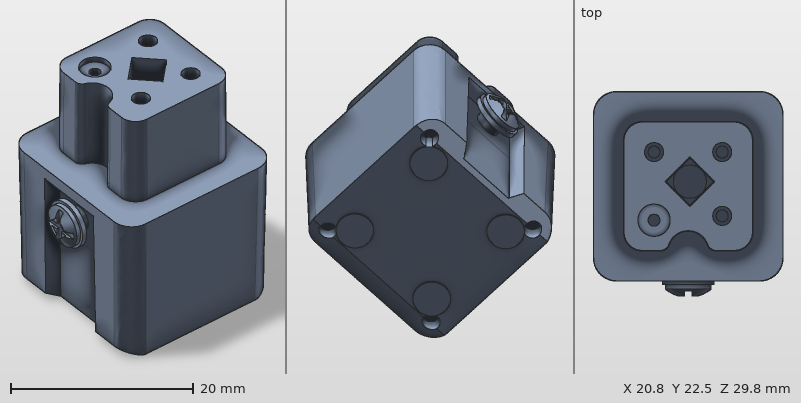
import cadquery as cq
import math

total_height = 29.8
body_bottom = 0.25
body_top = 18.65

cut_clearance = 0.3

body_width = 20.8
body_corner_radius = 2.5
body_draft = 0.8
bottom_chamfer_depth = 2.1
bottom_chamfer_rise = 0.8

plug_width = 14.1
plug_corner_radius = 2.0
plug_draft = 0.3
groove_radius = 2.25
groove_depth = 2.18
groove_lip_radius = 0.95

contact_centers = [(-3.75, 3.75), (3.72, 3.75), (3.72, -3.25)]
ground_contact_center = (-3.75, -3.72)
contact_bore_diameter = 2.1
contact_bore_depth = 5.95
contact_socket_diameter = 1.3
contact_socket_depth = 8.95
ground_recess_diameter = 3.55
ground_recess_depth = 0.7

socket_center = (0.18, 0.5)
socket_diagonal = 5.45
socket_depth = total_height - body_top
socket_draft = 0.5
socket_bore_diameter = 3.65
socket_bore_depth = 2.98

pocket_top = 17.2
pocket_top_half_width = 4.3
pocket_bottom_half_width = 4.6
pocket_floor_half_width = 3.5
pocket_floor_top = 16.65
pocket_wall_depth = 1.55
pocket_seat_bottom = 10.35
pocket_lower_draft = 0.7

screw_height = 13.62
shank_diameter = 2.98
shank_embed = 0.6
washer_diameter = 5.7
washer_thickness = 0.6
washer_front = -10.75
head_diameter = 5.05
head_rim = -11.3
head_dome_height = 0.92
slot_width = 0.77
slot_floor = -11.5
cross_recess_half_diagonal = 1.58
cross_recess_floor = -11.77

terminal_x = 5.93
terminal_y = 5.78
terminal_diameter = 4.15
terminal_length = 2.98

wire_bore_x = 7.95
wire_bore_y = 7.93
wire_bore_diameter = 1.97
wire_bore_top = 2.38

front_face = -body_width / 2
pocket_floor = front_face + pocket_wall_depth
screw_tip = head_rim - head_dome_height


def rounded_square(width):
    return cq.Sketch().rect(width, width).vertices().fillet(body_corner_radius)


def make_body():
    height = body_top - body_bottom
    lower_half_width = body_width / 2 - height * math.tan(math.radians(body_draft))
    upper_square = rounded_square(body_width).moved(cq.Location(cq.Vector(0, 0, height)))
    body = (
        cq.Workplane("XY").workplane(offset=body_bottom)
        .placeSketch(rounded_square(2 * lower_half_width), upper_square)
        .loft(ruled=True)
    )
    chamfer_slope = bottom_chamfer_rise / bottom_chamfer_depth
    chamfer_reach = bottom_chamfer_depth + cut_clearance
    for side in (-1, 1):
        flat_edge = side * (lower_half_width - bottom_chamfer_depth)
        outer_edge = flat_edge + side * chamfer_reach
        wedge = (
            cq.Workplane("YZ")
            .polyline([
                (flat_edge, body_bottom),
                (outer_edge, body_bottom),
                (outer_edge, body_bottom + chamfer_slope * chamfer_reach),
            ])
            .close()
            .extrude(body_width, both=True)
        )
        body = body.cut(wedge)
    return body


def make_plug():
    half = plug_width / 2
    straight = half - plug_corner_radius
    corner_mid = straight + plug_corner_radius * math.sqrt(0.5)
    groove_center = -half + groove_depth - groove_radius
    lip_center = -half + groove_lip_radius
    center_distance = groove_radius + groove_lip_radius
    lip_x = math.sqrt(center_distance**2 - (lip_center - groove_center) ** 2)
    tangent_x = lip_x * groove_radius / center_distance
    tangent_y = groove_center + (lip_center - groove_center) * groove_radius / center_distance
    profile = (
        cq.Workplane("XY").workplane(offset=total_height)
        .moveTo(lip_x, -half)
        .lineTo(straight, -half)
        .threePointArc((corner_mid, -corner_mid), (half, -straight))
        .lineTo(half, straight)
        .threePointArc((corner_mid, corner_mid), (straight, half))
        .lineTo(-straight, half)
        .threePointArc((-corner_mid, corner_mid), (-half, straight))
        .lineTo(-half, -straight)
        .threePointArc((-corner_mid, -corner_mid), (-straight, -half))
        .lineTo(-lip_x, -half)
        .tangentArcPoint((-tangent_x, tangent_y), relative=False)
        .threePointArc((0, groove_center + groove_radius), (tangent_x, tangent_y))
        .tangentArcPoint((lip_x, -half), relative=False)
        .close()
    )
    return profile.extrude(body_top - total_height, taper=-plug_draft)


def drill(part, centers, diameter, top, depth):
    bores = cq.Workplane("XY").workplane(offset=top).pushPoints(centers).circle(diameter / 2).extrude(-depth)
    return part.cut(bores)


def cut_contacts(part):
    part = drill(part, contact_centers, contact_bore_diameter, total_height, contact_bore_depth)
    part = drill(part, [ground_contact_center], ground_recess_diameter, total_height, ground_recess_depth)
    all_centers = contact_centers + [ground_contact_center]
    return drill(part, all_centers, contact_socket_diameter, total_height, contact_socket_depth)


def cut_square_socket(part):
    socket = (
        cq.Workplane("XY").workplane(offset=total_height)
        .center(*socket_center)
        .polygon(4, socket_diagonal)
        .extrude(-socket_depth, taper=socket_draft)
    )
    bore_depth = socket_depth + socket_bore_depth
    return drill(part.cut(socket), [socket_center], socket_bore_diameter, total_height, bore_depth)


def pocket_section(depth_y):
    """Pocket outline at depth_y, following the slope of its side and top walls."""
    share = (depth_y - front_face) / pocket_wall_depth
    top = pocket_top + share * (pocket_floor_top - pocket_top)
    top_half = pocket_top_half_width + share * (pocket_floor_half_width - pocket_top_half_width)
    bottom_half = pocket_bottom_half_width + share * (pocket_floor_half_width - pocket_bottom_half_width)
    return [(-bottom_half, 0), (bottom_half, 0), (top_half, top), (-top_half, top)]


def cut_front_pocket(part):
    cutter_start = front_face - cut_clearance
    pocket = (
        cq.Workplane("XZ", origin=(0, cutter_start, 0))
        .polyline(pocket_section(cutter_start)).close()
        .workplane(offset=cutter_start - pocket_floor)
        .polyline(pocket_section(pocket_floor)).close()
        .loft(ruled=True)
    )
    lean = pocket_seat_bottom * math.tan(math.radians(pocket_lower_draft))
    lower_floor = (
        cq.Workplane("YZ")
        .polyline([
            (pocket_floor, pocket_seat_bottom),
            (pocket_floor + lean, 0),
            (pocket_floor, 0),
        ])
        .close()
        .extrude(pocket_floor_half_width, both=True)
    )
    return part.cut(pocket).cut(lower_floor)


def screw_plane(y):
    """Workplane across the screw axis whose normal points out of the front face."""
    return cq.Workplane("XZ", origin=(0, y, screw_height))


def make_screw():
    shank_root = pocket_floor + shank_embed
    shank = screw_plane(shank_root).circle(shank_diameter / 2).extrude(shank_root - head_rim)
    washer = screw_plane(washer_front).circle(washer_diameter / 2).extrude(-washer_thickness)
    head_radius = head_diameter / 2
    dome_radius = (head_radius**2 + head_dome_height**2) / (2 * head_dome_height)
    dome_center = screw_tip + dome_radius
    mid_x = head_radius / 2
    mid_y = dome_center - math.sqrt(dome_radius**2 - mid_x**2)
    head = (
        cq.Workplane("XY", origin=(0, 0, screw_height))
        .moveTo(0, washer_front)
        .lineTo(head_radius, washer_front)
        .lineTo(head_radius, head_rim)
        .threePointArc((mid_x, mid_y), (0, screw_tip))
        .close()
        .revolve(360, (0, 0, 0), (0, 1, 0))
    )
    slot_depth = slot_floor - screw_tip
    level_slot = screw_plane(slot_floor).rect(head_diameter, slot_width).extrude(slot_depth)
    upright_slot = screw_plane(slot_floor).rect(slot_width, head_diameter).extrude(slot_depth)
    recess = (
        screw_plane(cross_recess_floor)
        .polygon(4, 2 * cross_recess_half_diagonal)
        .extrude(cross_recess_floor - screw_tip)
    )
    return shank.union(washer).union(head.cut(level_slot).cut(upright_slot).cut(recess))


def corner_cylinders(x, y, diameter, height):
    """Four upright cylinders standing on Z = 0, one near each corner."""
    centers = [(side_x * x, side_y * y) for side_x in (-1, 1) for side_y in (-1, 1)]
    return cq.Workplane("XY").pushPoints(centers).circle(diameter / 2).extrude(height)


result = make_body().union(make_plug())
result = cut_contacts(result)
result = cut_square_socket(result)
result = cut_front_pocket(result)
result = result.cut(corner_cylinders(wire_bore_x, wire_bore_y, wire_bore_diameter, wire_bore_top))
result = result.union(corner_cylinders(terminal_x, terminal_y, terminal_diameter, terminal_length))
result = result.union(make_screw())